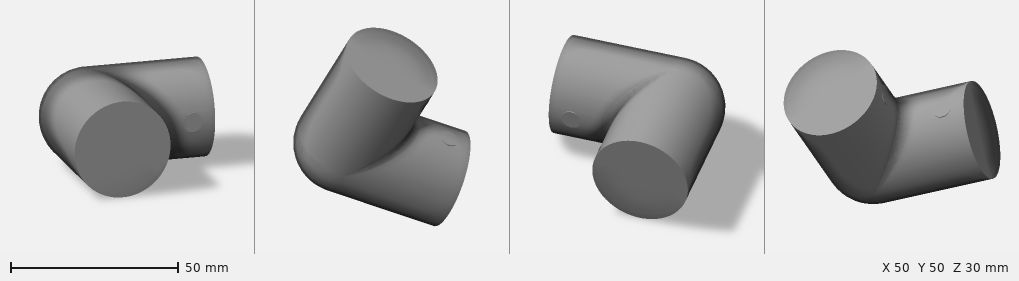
import cadquery as cq

overall_length = 50.0
leg_diameter = 30.0
crease_fillet = 3.0
screw_diameter = 6.0
screw_length = 5.0
screw_end_distance = 7.0

leg_radius = leg_diameter / 2
leg_length = overall_length - leg_radius
screw_position = leg_length - screw_end_distance
screw_bottom = leg_radius - screw_length


def leg(direction):
    """Round leg running from the corner, at the origin, along direction."""
    return cq.Workplane(cq.Solid.makeCylinder(leg_radius, leg_length, cq.Vector(), direction))


def screw(leg_direction, screw_direction):
    """Set screw across a leg, with its flat end level with the leg's inner side."""
    base = leg_direction * screw_position + screw_direction * screw_bottom
    return cq.Solid.makeCylinder(screw_diameter / 2, screw_length, base, screw_direction)


def make_elbow(screws):
    """Two legs with a round outer corner, a filleted inner crease and screw holes."""
    legs = leg(along_x).union(leg(along_y))
    elbow = legs.edges("%ELLIPSE").fillet(crease_fillet)
    elbow = elbow.union(cq.Workplane().sphere(leg_radius))
    for body in screws:
        elbow = elbow.cut(cq.Workplane(body))
    return elbow


along_x = cq.Vector(1, 0, 0)
along_y = cq.Vector(0, 1, 0)

screws = [screw(along_x, along_y), screw(along_y, along_x)]
elbow = make_elbow(screws)

result = cq.Compound.makeCompound([elbow.val(), *screws])